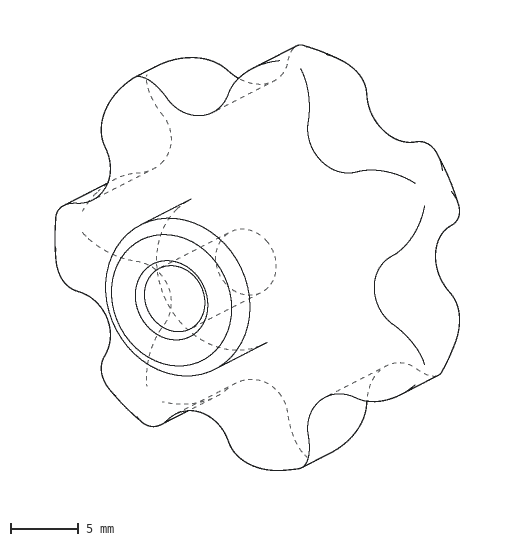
import cadquery as cq
import math


lobe_count = 7
lobe_radius = 3.4
overall_height = 31.35
top_lobe_angle = 3 * math.pi / lobe_count
lobe_center_radius = (overall_height / 2 - lobe_radius) / math.sin(top_lobe_angle)
rim_radius = lobe_center_radius + lobe_radius
valley_radius = 3.0

dome_height = 11.0
dome_radius = 62.72
back_round = 3.0
dome_round = 4.0

hub_radius = 6.0
hub_length = 10.0
hub_chamfer = 1.0
hub_root_fillet = 1.0

hole_radius = 2.5
hole_chamfer = 0.5
hole_depth = 12.0
drill_tip_half_angle = 59.0


def polar(radius, angle):
    return (radius * math.cos(angle), radius * math.sin(angle))


def lobed_prism():
    """Prism along Y, longer than the knob, whose lobe and valley arcs are tangent."""
    half_pitch = math.pi / lobe_count
    valley_center_radius = lobe_center_radius * math.cos(half_pitch) + math.sqrt(
        (lobe_radius + valley_radius) ** 2 - (lobe_center_radius * math.sin(half_pitch)) ** 2
    )
    valley_x, valley_z = polar(valley_center_radius, half_pitch)
    share = lobe_radius / (lobe_radius + valley_radius)
    touch_x = lobe_center_radius + share * (valley_x - lobe_center_radius)
    touch_z = share * valley_z
    touch_radius = math.hypot(touch_x, touch_z)
    touch_angle = math.atan2(touch_z, touch_x)

    outline = cq.Workplane("XZ").moveTo(*polar(touch_radius, math.pi - touch_angle))
    for index in range(lobe_count):
        lobe_angle = math.pi + 2 * half_pitch * index
        valley_angle = lobe_angle + half_pitch
        next_lobe_angle = valley_angle + half_pitch
        outline = outline.threePointArc(
            polar(rim_radius, lobe_angle),
            polar(touch_radius, lobe_angle + touch_angle),
        ).threePointArc(
            polar(valley_center_radius - valley_radius, valley_angle),
            polar(touch_radius, next_lobe_angle - touch_angle),
        )
    return outline.close().extrude(2 * dome_height, both=True)


def domed_disc():
    """Turned blank with a rounded back edge and a rim that blends into the dome."""
    dome_center_y = dome_height - dome_radius
    round_center_x = rim_radius - dome_round
    blend_angle = math.asin(round_center_x / (dome_radius - dome_round))
    round_center_y = dome_center_y + (dome_radius - dome_round) * math.cos(blend_angle)

    def on_dome(angle):
        return (dome_radius * math.sin(angle), dome_center_y + dome_radius * math.cos(angle))

    round_mid_angle = (math.pi / 2 + blend_angle) / 2
    round_middle = (
        round_center_x + dome_round * math.sin(round_mid_angle),
        round_center_y + dome_round * math.cos(round_mid_angle),
    )
    back_diagonal = back_round * math.sqrt(0.5)
    back_middle = (rim_radius - back_round + back_diagonal, back_round - back_diagonal)
    return (
        cq.Workplane("XY")
        .lineTo(rim_radius - back_round, 0)
        .threePointArc(back_middle, (rim_radius, back_round))
        .lineTo(rim_radius, round_center_y)
        .threePointArc(round_middle, on_dome(blend_angle))
        .threePointArc(on_dome(blend_angle / 2), (0, dome_height))
        .close()
        .revolve(360, (0, 0, 0), (0, 1, 0))
    )


def hub():
    """Chamfered cylinder with a concave fillet where it meets the back face."""
    root_diagonal = hub_root_fillet * (1 - math.sqrt(0.5))
    return (
        cq.Workplane("XY")
        .moveTo(0, -hub_length)
        .lineTo(hub_radius - hub_chamfer, -hub_length)
        .lineTo(hub_radius, hub_chamfer - hub_length)
        .lineTo(hub_radius, -hub_root_fillet)
        .threePointArc(
            (hub_radius + root_diagonal, -root_diagonal),
            (hub_radius + hub_root_fillet, 0),
        )
        .lineTo(0, 0)
        .close()
        .revolve(360, (0, 0, 0), (0, 1, 0))
    )


def blind_hole():
    """Drilled hole with a countersunk mouth and a conical bottom."""
    bottom_y = hole_depth - hub_length
    tip_length = hole_radius / math.tan(math.radians(drill_tip_half_angle))
    return (
        cq.Workplane("XY")
        .moveTo(0, -hub_length)
        .lineTo(hole_radius + hole_chamfer, -hub_length)
        .lineTo(hole_radius, hole_chamfer - hub_length)
        .lineTo(hole_radius, bottom_y)
        .lineTo(0, bottom_y + tip_length)
        .close()
        .revolve(360, (0, 0, 0), (0, 1, 0))
    )


knob_head = domed_disc().intersect(lobed_prism())
result = knob_head.union(hub()).cut(blind_hole())